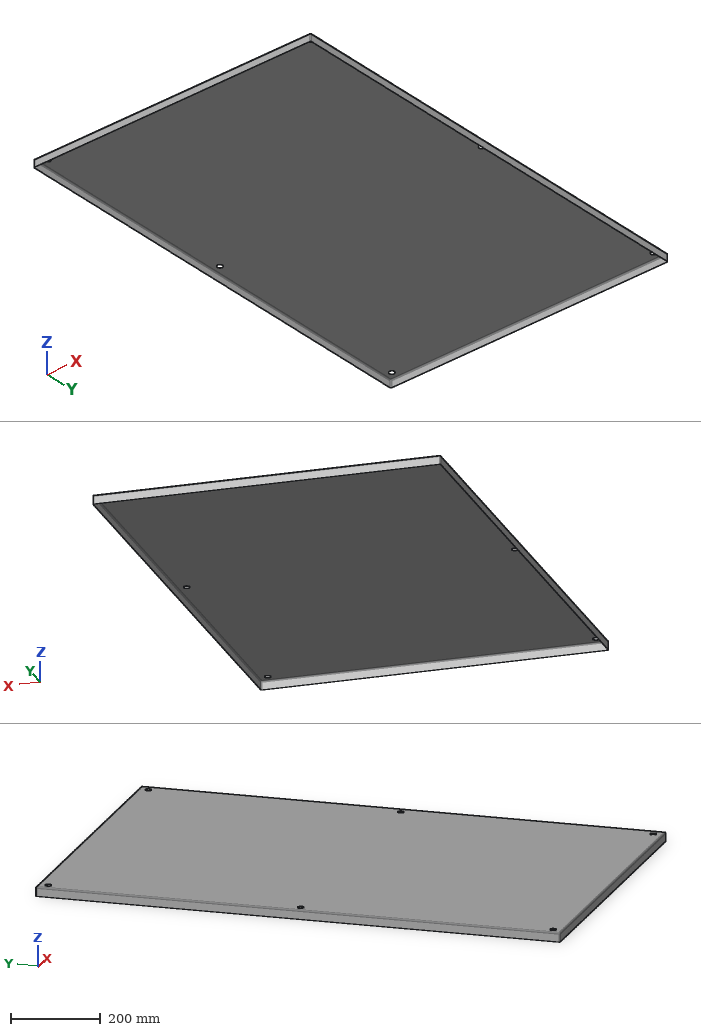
import cadquery as cq

width = 813.0
length = 1219.0
height = 22.0
sheet_thickness = 1.5
outer_radius = 3.0
hole_diameter = 15.0
hole_edge_distance = 23.0

hole_x = width / 2 - hole_edge_distance
hole_y = length / 2 - hole_edge_distance


def rounded_block(block_width, block_length, block_height, radius):
    """Block standing on Z = 0 with rounded corners and a rounded top edge."""
    block = cq.Workplane("XY").box(block_width, block_length, block_height, centered=(True, True, False))
    return block.edges("|Z or >Z").fillet(radius)


outside = rounded_block(width, length, height, outer_radius)
inside = rounded_block(
    width - 2 * sheet_thickness,
    length - 2 * sheet_thickness,
    height - sheet_thickness,
    outer_radius - sheet_thickness,
)
cover = outside.cut(inside)

hole_centers = [(x, y) for x in (-hole_x, hole_x) for y in (-hole_y, 0, hole_y)]
holes = cq.Workplane("XY").pushPoints(hole_centers).circle(hole_diameter / 2).extrude(height)

result = cover.cut(holes)